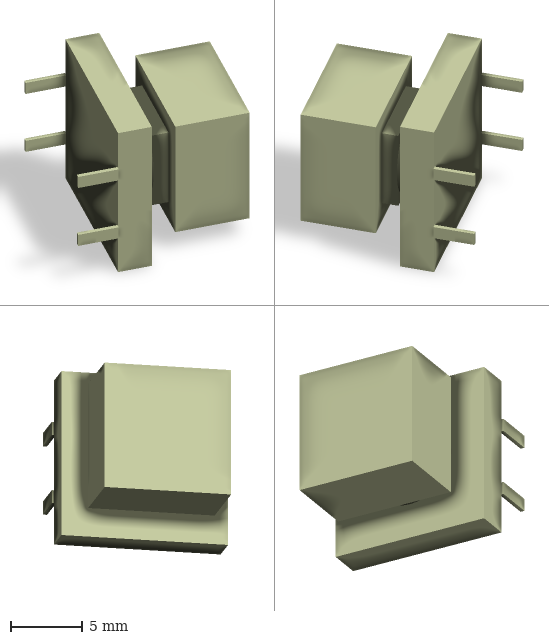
import cadquery as cq

overall_width = 12.3
body_side = 12.0
body_depth = 2.5
collar_diameter = 6.7
collar_depth = 1.0
neck_side = 6.0
neck_depth = 1.2
cap_side = 9.11
cap_depth = 5.5
pin_length = 3.0
pin_thickness = 0.3
pin_height = 0.95
pin_pitch = 5.0

collar_start = body_depth
neck_start = collar_start + collar_depth
cap_start = neck_start + neck_depth


def square_block(side, start, depth):
    """Square block centred on the Y axis, running from start towards +Y."""
    return cq.Workplane("XY").box(side, depth, side).translate((0, start + depth / 2, 0))


def collar():
    """Round collar between the body and the neck."""
    plane = cq.Workplane("XZ", origin=(0, collar_start, 0))
    return plane.circle(collar_diameter / 2).extrude(-collar_depth)


def pin(side_x, side_z):
    """Flat terminal pin behind the body, overhanging its side face."""
    x = side_x * (overall_width - pin_thickness) / 2
    z = side_z * pin_pitch / 2
    return cq.Workplane("XY").box(pin_thickness, pin_length, pin_height).translate((x, -pin_length / 2, z))


result = (
    square_block(body_side, 0, body_depth)
    .union(collar())
    .union(square_block(neck_side, neck_start, neck_depth))
    .union(square_block(cap_side, cap_start, cap_depth))
)
for side_x in (-1, 1):
    for side_z in (-1, 1):
        result = result.union(pin(side_x, side_z))